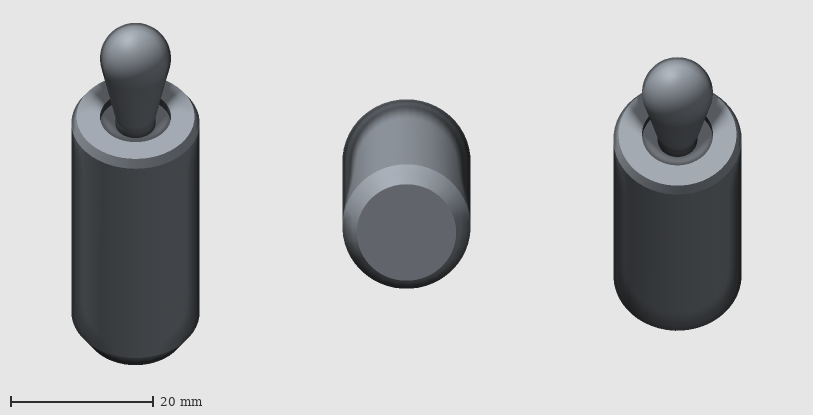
import cadquery as cq
import math

total_height = 59.5
housing_diameter = 18.0
housing_radius = housing_diameter / 2
housing_height = 42.8
chamfer_angle = math.radians(30)
top_chamfer_height = 1.25
bottom_chamfer_height = 3.5

ball_radius = 5.0
ball_center_z = total_height - ball_radius
ball_joint_z = 53.55
stem_radius = 2.8

recess_radius = ball_radius
recess_depth = 1.4
recess_floor_z = housing_height - recess_depth


def make_housing():
    """Round body with a cone at each end and a shallow recess on top."""
    top_radius = housing_radius - top_chamfer_height * math.tan(chamfer_angle)
    bottom_radius = housing_radius - bottom_chamfer_height * math.tan(chamfer_angle)
    return (
        cq.Workplane("XZ")
        .lineTo(bottom_radius, 0)
        .lineTo(housing_radius, bottom_chamfer_height)
        .lineTo(housing_radius, housing_height - top_chamfer_height)
        .lineTo(top_radius, housing_height)
        .lineTo(recess_radius, housing_height)
        .lineTo(recess_radius, recess_floor_z)
        .lineTo(0, recess_floor_z)
        .close()
        .revolve(360, (0, 0, 0), (0, 1, 0))
    )


def make_pin():
    """Ball-ended tapered pin whose short stem stands on the recess floor."""
    joint_radius = math.sqrt(ball_radius**2 - (ball_center_z - ball_joint_z) ** 2)
    return (
        cq.Workplane("XZ")
        .moveTo(0, recess_floor_z)
        .lineTo(stem_radius, recess_floor_z)
        .lineTo(stem_radius, housing_height)
        .lineTo(joint_radius, ball_joint_z)
        .threePointArc((ball_radius, ball_center_z), (0, total_height))
        .close()
        .revolve(360, (0, 0, 0), (0, 1, 0))
    )


housing = make_housing()
pin = make_pin()

result = cq.Compound.makeCompound([housing.val(), pin.val()])